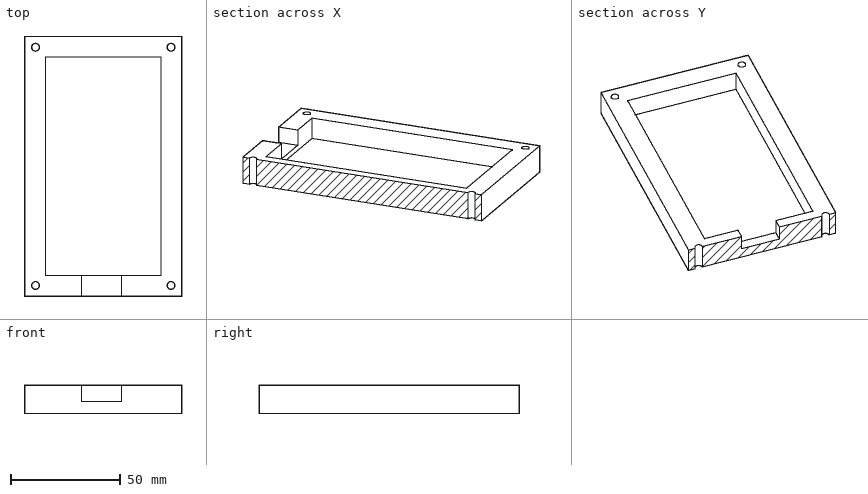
import cadquery as cq

width = 72.0
length = 119.0
height = 13.0

pocket_width = 53.0
pocket_length = 100.0
pocket_depth = 10.0

notch_width = 18.5
notch_depth = 7.5
notch_center_x = -0.8

hole_diameter = 3.5
hole_inset = 5.0

end_wall = (length - pocket_length) / 2
notch_center_y = -(length - end_wall) / 2


def top_cutter(size_x, size_y, depth, center_x=0, center_y=0):
    """Box that reaches down from the top face by the given depth."""
    return (
        cq.Workplane("XY")
        .box(size_x, size_y, depth, centered=(True, True, False))
        .translate((center_x, center_y, height - depth))
    )


block = cq.Workplane("XY").box(width, length, height, centered=(True, True, False))
pocket = top_cutter(pocket_width, pocket_length, pocket_depth)
notch = top_cutter(notch_width, end_wall, notch_depth, notch_center_x, notch_center_y)

holes = (
    cq.Workplane("XY")
    .rect(width - 2 * hole_inset, length - 2 * hole_inset, forConstruction=True)
    .vertices()
    .circle(hole_diameter / 2)
    .extrude(height)
)

result = block.cut(pocket).cut(notch).cut(holes)